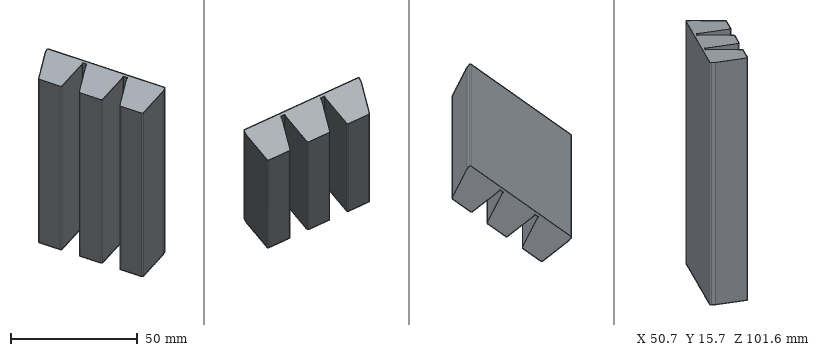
import cadquery as cq

width = 50.7
depth = 15.7
length = 101.6

rib_count = 3
rib_pitch = 17.5
rib_root_width = width - (rib_count - 1) * rib_pitch
rib_taper = 2.9
straight_depth = 2.1
web_thickness = 1.2
tip_radius = 0.6
back_radius = 0.5

back_y = depth / 2
tip_y = -depth / 2


def make_rib(center_x):
    """One rib: straight sides at the back, tapering to a rounded tip."""
    root = rib_root_width / 2
    tip = root - rib_taper
    shoulder_y = back_y - straight_depth
    profile = [
        (-root, back_y),
        (-root, shoulder_y),
        (-tip, tip_y),
        (tip, tip_y),
        (root, shoulder_y),
        (root, back_y),
    ]
    rib = cq.Workplane("XY").polyline(profile).close().extrude(length)
    rib = rib.faces("<Y").edges("|Z").fillet(tip_radius)
    return rib.translate((center_x, 0, 0))


result = cq.Workplane("XY").box(width, web_thickness, length, centered=(True, False, False))
result = result.translate((0, back_y - web_thickness, 0))

for index in range(rib_count):
    offset = index - (rib_count - 1) / 2
    result = result.union(make_rib(offset * rib_pitch))

result = result.clean().faces(">Y").edges("|Z").fillet(back_radius)